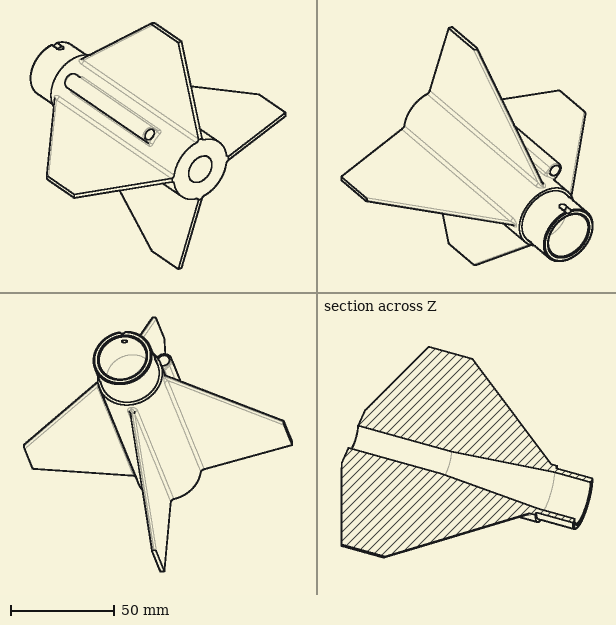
import cadquery as cq
import math

length = 118.0
fin_span = 128.0
half_span = fin_span / 2

body_radius = 16.0
shoulder_radius = 14.5
shoulder_length = 19.0
rim_chamfer = 0.6
rim_chamfer_length = 0.4
front_bore_radius = 11.6
rear_bore_radius = 7.0
taper_length = 51.2

fin_count = 4
fin_pitch = 360 / fin_count
fin_thickness = 2.0
fin_nose = 22.0
fin_tip_front = 79.2
fin_tip_rear = 101.6
fin_tail_radius = 17.0
fin_edge_fillet = 0.9
fin_root_fillet = 1.7

lug_front = 32.4
lug_length = 63.5
lug_offset = 19.8
lug_radius = 3.8
lug_hole_radius = 2.8
lug_rim_fillet = 0.5
lug_root_fillet = 1.3
lug_angle = 45.0

groove_radius = 1.7
groove_depth = 1.2
cross_hole_x = 5.1
cross_hole_top_radius = 1.8
cross_hole_bottom_radius = 1.2

root_overlap = 1.3
root_radius = body_radius - root_overlap

tolerance = 0.01


def x_cylinder(radius, start, end, height=0):
    """Solid cylinder along X with its axis at the given height."""
    return cq.Workplane("YZ", origin=(start, 0, height)).circle(radius).extrude(end - start)


def turned(shape, angle):
    """The shape turned about the tube axis."""
    return shape.rotate((0, 0, 0), (1, 0, 0), angle)


def make_fin():
    """Fin standing up along +Z, rounded on its swept leading edge, tail still square."""
    sweep = (fin_tip_front - fin_nose) / (half_span - body_radius)
    root_front = fin_nose - sweep * root_overlap
    outline = [
        (root_front, root_radius),
        (fin_tip_front, half_span),
        (length, half_span),
        (length, root_radius),
    ]
    fin = cq.Workplane("XZ").polyline(outline).close().extrude(fin_thickness / 2, both=True)
    leading_middle = ((root_front + fin_tip_front) / 2, 0, (root_radius + half_span) / 2)
    leading_face = cq.selectors.NearestToPointSelector(leading_middle)
    return fin.faces(leading_face).edges("not(|Y)").fillet(fin_edge_fillet)


def make_tail_trim():
    """Wedges that cut every square fin tail back to its swept trailing edge."""
    margin = fin_thickness
    outline = [
        (length, fin_tail_radius),
        (fin_tip_rear, half_span),
        (fin_tip_rear, half_span + margin),
        (length + margin, half_span + margin),
        (length + margin, fin_tail_radius),
    ]
    wedge = cq.Workplane("XZ").polyline(outline).close().extrude(fin_thickness + margin, both=True)
    wedges = wedge
    for index in range(1, fin_count):
        wedges = wedges.union(turned(wedge, index * fin_pitch))
    return wedges


def make_lug():
    """Lug standing up along +Z, still solid: a small tube on a straight-sided saddle."""
    tube = x_cylinder(lug_radius, lug_front, lug_front + lug_length, lug_offset)
    saddle = (
        cq.Workplane("YZ", origin=(lug_front, 0, (lug_offset + root_radius) / 2))
        .rect(2 * lug_radius, lug_offset - root_radius)
        .extrude(lug_length)
    )
    return tube.union(saddle).faces("<X or >X").edges().fillet(lug_rim_fillet)


def is_root_edge(edge):
    """True for an edge where a fin or the lug meets the body surface."""
    samples = [edge.positionAt(fraction) for fraction in (0.1, 0.5, 0.9)]
    on_body = all(abs(math.hypot(p.y, p.z) - body_radius) < tolerance for p in samples)
    return on_body and shoulder_length + tolerance < edge.BoundingBox().xmin < length - tolerance


def is_lug_edge(edge):
    """True for an edge in the quarter of the body that carries the lug."""
    center = edge.Center()
    return center.y < -lug_radius and center.z > lug_radius


def add_fins_and_lug(tube):
    """Join the fins and the lug to the tube and fillet their roots."""
    fin = make_fin()
    for index in range(fin_count):
        tube = tube.union(turned(fin, index * fin_pitch))
    tube = tube.union(turned(make_lug(), lug_angle))
    for on_lug, radius in ((True, lug_root_fillet), (False, fin_root_fillet)):
        roots = [e for e in tube.edges().vals() if is_root_edge(e) and is_lug_edge(e) == on_lug]
        tube = tube.newObject(roots).fillet(radius)
    return tube


def make_bore():
    """Bore of the tube: chamfered mouth, wide front, long taper, narrow rear."""
    outline = [
        (0, 0),
        (0, front_bore_radius + rim_chamfer),
        (rim_chamfer_length, front_bore_radius),
        (shoulder_length, front_bore_radius),
        (shoulder_length + taper_length, rear_bore_radius),
        (length, rear_bore_radius),
        (length, 0),
    ]
    return cq.Workplane("XY").polyline(outline).close().revolve(360, (0, 0, 0), (1, 0, 0))


def make_groove():
    """Round-bottomed groove from the rim, ending in a tapered hole through the wall."""
    axis_height = shoulder_radius - groove_depth + groove_radius
    trough = x_cylinder(groove_radius, 0, cross_hole_x, axis_height)
    hole_depth = shoulder_radius - front_bore_radius + rim_chamfer
    hole = (
        cq.Workplane("XY", origin=(cross_hole_x, 0, shoulder_radius))
        .circle(cross_hole_top_radius)
        .workplane(offset=-hole_depth)
        .circle(cross_hole_bottom_radius)
        .loft()
    )
    return trough.union(hole)


body = turned(x_cylinder(body_radius, shoulder_length, length), lug_angle)
shoulder = (
    x_cylinder(shoulder_radius, 0, shoulder_length)
    .faces("<X")
    .chamfer(rim_chamfer_length, rim_chamfer)
)
lug_hole = x_cylinder(lug_hole_radius, lug_front, lug_front + lug_length, lug_offset)

result = (
    add_fins_and_lug(body)
    .cut(make_tail_trim())
    .cut(turned(lug_hole, lug_angle))
    .union(shoulder)
    .cut(make_bore())
    .cut(make_groove())
)